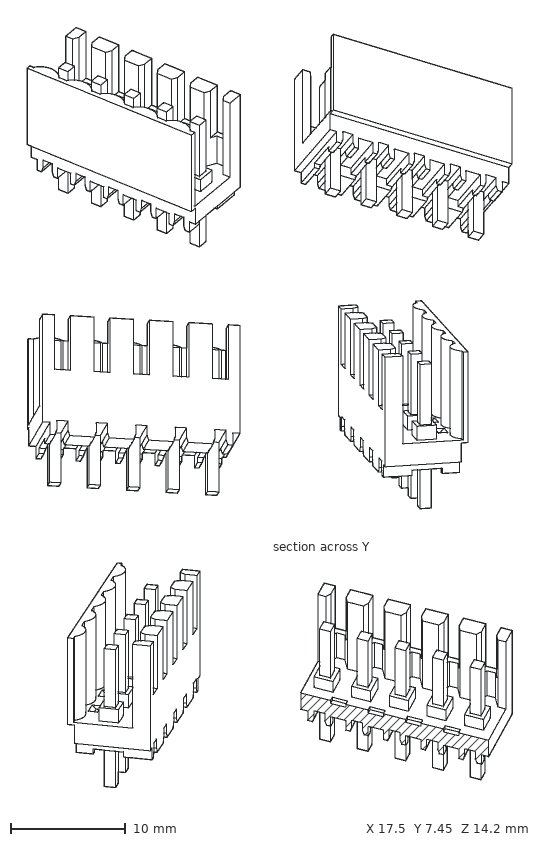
import cadquery as cq

LENGTH = 17.5
DEPTH = 7.45
PIN_COUNT = 5
PITCH = LENGTH / PIN_COUNT
PIN_Y = 3.5
PIN_XS = [(i - (PIN_COUNT - 1) / 2) * PITCH for i in range(PIN_COUNT)]
GAP_XS = [x + PITCH / 2 for x in PIN_XS[:-1]]

LEDGE_Z = 1.12
FLOOR_Z = 3.1
TOP_Z = 11.02
FRONT_WALL_BOTTOM_Z = 2.84
REAR_GAP_BOTTOM_Z = 6.02

BASE_FRONT_Y = 0.61
PAD_INSET = 0.65
CHANNEL_START_Y = 2.15
CHANNEL_END_Y = 4.86
CHANNEL_DEPTH = 0.47

GROOVE_WIDTH = 0.98
GROOVE_MOUTH_WIDTH = 1.3
GROOVE_DEPTH = 1.33
GROOVE_FLARE_HEIGHT = 0.47

OPENING_WIDTH = 1.4

POCKET_START_Y = 1.15
POCKET_END_Y = 2.0
POCKET_SLOPE_END_Y = 1.5
POCKET_DEPTH = POCKET_SLOPE_END_Y - POCKET_START_Y

WALL_LEFT_THICKNESS = 0.44
WALL_RIGHT_THICKNESS = 0.52
RIB_RADIUS = 1.65
RIB_CREST_Y = 1.15

REAR_WALL_THICKNESS = 1.6
REAR_WALL_FACE_Y = DEPTH - REAR_WALL_THICKNESS
REAR_GROOVE_MOUTH = 2.0
REAR_GROOVE_BOTTOM = 0.77
REAR_GROOVE_DEPTH = 1.05

PIN_SIZE = 1.02
PIN_TOP_Z = 9.82
PIN_BOTTOM_Z = -3.22
BOSS_SIZE = 1.77
BOSS_HEIGHT = 1.26


def block(x_center, width, y_start, y_end, z_start, z_end):
    """Box centred on x_center, between the given Y and Z limits."""
    size = (width, y_end - y_start, z_end - z_start)
    corner = (x_center - width / 2, y_start, z_start)
    return cq.Workplane("XY").box(*size, centered=False).translate(corner)


def square_post(x_center, size, z_start, z_end):
    """Square prism standing on the pin row."""
    return block(x_center, size, PIN_Y - size / 2, PIN_Y + size / 2, z_start, z_end)


def make_base():
    base = block(0, LENGTH, BASE_FRONT_Y, DEPTH, LEDGE_Z, FLOOR_Z)
    pad = block(0, LENGTH - 2 * PAD_INSET, BASE_FRONT_Y, DEPTH, 0, LEDGE_Z)
    channel = block(0, LENGTH, CHANNEL_START_Y, CHANNEL_END_Y, 0, CHANNEL_DEPTH)
    return base.union(pad.cut(channel))


def make_front_wall():
    wall = (
        cq.Workplane("XY", origin=(0, 0, FRONT_WALL_BOTTOM_Z))
        .moveTo(-LENGTH / 2, 0)
        .lineTo(LENGTH / 2, 0)
        .lineTo(LENGTH / 2, WALL_RIGHT_THICKNESS)
        .lineTo(-LENGTH / 2, WALL_LEFT_THICKNESS)
        .close()
        .extrude(TOP_Z - FRONT_WALL_BOTTOM_Z)
    )
    link = block(0, LENGTH, 0, BASE_FRONT_Y, FRONT_WALL_BOTTOM_Z, FLOOR_Z)
    wall = wall.union(link)
    for x in PIN_XS:
        cylinder = (
            cq.Workplane("XY", origin=(x, RIB_CREST_Y - RIB_RADIUS, FLOOR_Z))
            .circle(RIB_RADIUS)
            .extrude(TOP_Z - FLOOR_Z)
        )
        behind_face = block(x, PITCH, 0, RIB_CREST_Y, FLOOR_Z, TOP_Z)
        wall = wall.union(cylinder.intersect(behind_face))
    return wall


def rear_groove(x):
    """Trapezoidal groove, open towards the pin, from the floor to the top."""
    bottom_y = REAR_WALL_FACE_Y + REAR_GROOVE_DEPTH
    return (
        cq.Workplane("XY", origin=(x, 0, FLOOR_Z))
        .moveTo(-REAR_GROOVE_MOUTH / 2, REAR_WALL_FACE_Y)
        .lineTo(REAR_GROOVE_MOUTH / 2, REAR_WALL_FACE_Y)
        .lineTo(REAR_GROOVE_BOTTOM / 2, bottom_y)
        .lineTo(-REAR_GROOVE_BOTTOM / 2, bottom_y)
        .close()
        .extrude(TOP_Z - FLOOR_Z)
    )


def make_rear_wall():
    wall = block(0, LENGTH, REAR_WALL_FACE_Y, DEPTH, FLOOR_Z, TOP_Z)
    for x in PIN_XS:
        wall = wall.cut(rear_groove(x))
        gap = block(x, OPENING_WIDTH, REAR_WALL_FACE_Y, DEPTH, REAR_GAP_BOTTOM_Z, TOP_Z)
        wall = wall.cut(gap)
    return wall


def pin_groove(x):
    """Groove across the underside, below one pin, with a flared mouth."""
    half_width = GROOVE_WIDTH / 2
    half_mouth = GROOVE_MOUTH_WIDTH / 2
    return (
        cq.Workplane("XZ", origin=(x, 0, 0))
        .moveTo(-half_mouth, 0)
        .lineTo(-half_width, GROOVE_FLARE_HEIGHT)
        .lineTo(-half_width, GROOVE_DEPTH)
        .lineTo(half_width, GROOVE_DEPTH)
        .lineTo(half_width, GROOVE_FLARE_HEIGHT)
        .lineTo(half_mouth, 0)
        .close()
        .extrude(-DEPTH)
    )


def foot_notch(x):
    """Notch between two pins, from the front of the pad to the far side of the channel."""
    return block(x, OPENING_WIDTH, BASE_FRONT_Y, CHANNEL_END_Y, 0, LEDGE_Z)


def floor_pocket(x):
    """Blind pocket in the floor with a sloped front face."""
    return (
        cq.Workplane("YZ", origin=(x - OPENING_WIDTH / 2, 0, 0))
        .moveTo(POCKET_START_Y, FLOOR_Z)
        .lineTo(POCKET_END_Y, FLOOR_Z)
        .lineTo(POCKET_END_Y, FLOOR_Z - POCKET_DEPTH)
        .lineTo(POCKET_SLOPE_END_Y, FLOOR_Z - POCKET_DEPTH)
        .close()
        .extrude(OPENING_WIDTH)
    )


def make_housing():
    housing = make_base().union(make_front_wall()).union(make_rear_wall())
    for x in GAP_XS:
        housing = housing.cut(foot_notch(x)).cut(floor_pocket(x))
    for x in PIN_XS:
        housing = housing.cut(pin_groove(x))
        housing = housing.union(square_post(x, BOSS_SIZE, FLOOR_Z, FLOOR_Z + BOSS_HEIGHT))
        housing = housing.cut(make_pin(x))
    return housing


def make_pin(x):
    return square_post(x, PIN_SIZE, PIN_BOTTOM_Z, PIN_TOP_Z)


housing = make_housing()
pins = [make_pin(x) for x in PIN_XS]

result = cq.Compound.makeCompound([housing.val(), *[pin.val() for pin in pins]])